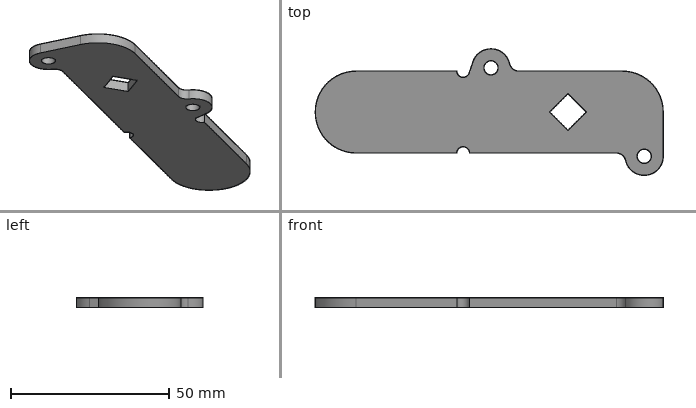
import cadquery as cq
import math

length = 110.0
overall_width = 40.0
thickness = 3.2
end_radius = 13.0
lug_radius = 6.0
lug_hole_diameter = 4.4
lug_fillet = 3.0
notch_radius = 2.0
notch_x = 46.8
upper_lug_x = 55.5
square_hole_x = 79.9
square_hole_side = 8.1

lug_y = overall_width / 2 - lug_radius
lower_lug_x = length - lug_radius
cut_height = 3 * thickness

fillet_offset_y = end_radius + lug_fillet
fillet_offset_x = math.sqrt((lug_radius + lug_fillet) ** 2 - (fillet_offset_y - lug_y) ** 2)


def polar(center, radius, angle):
    """Point on a circle at an angle in radians."""
    return (center[0] + radius * math.cos(angle), center[1] + radius * math.sin(angle))


def fillet_web(lug_x, x_side, y_side):
    """Web between a lug and a plate edge, bounded by the concave fillet."""
    lug = (lug_x, y_side * lug_y)
    center = (lug_x + x_side * fillet_offset_x, y_side * fillet_offset_y)
    edge_point = (center[0], y_side * end_radius)
    to_lug = math.atan2(lug[1] - center[1], lug[0] - center[0])
    lug_point = polar(center, lug_fillet, to_lug)
    middle_x = (edge_point[0] + lug_point[0]) / 2 - center[0]
    middle_y = (edge_point[1] + lug_point[1]) / 2 - center[1]
    middle = polar(center, lug_fillet, math.atan2(middle_y, middle_x))
    return (
        cq.Workplane("XY")
        .moveTo(lug_x, 0)
        .lineTo(edge_point[0], 0)
        .lineTo(*edge_point)
        .threePointArc(middle, lug_point)
        .lineTo(*lug)
        .close()
        .extrude(thickness)
    )


def tangent_web():
    """Web whose slanted side is tangent to the upper lug and the upper notch."""
    lug = (upper_lug_x, lug_y)
    notch = (notch_x, end_radius)
    spacing = math.dist(lug, notch)
    to_notch = math.atan2(notch[1] - lug[1], notch[0] - lug[0]) % (2 * math.pi)
    normal = to_notch - math.acos((lug_radius + notch_radius) / spacing)
    lug_point = polar(lug, lug_radius, normal)
    notch_point = polar(notch, notch_radius, normal + math.pi)
    outline = [lug, lug_point, notch_point, (notch_point[0], 0), (upper_lug_x, 0)]
    return cq.Workplane("XY").polyline(outline).close().extrude(thickness)


def plate():
    """Flat body with a round left end, a round upper and a square lower right corner."""
    corner_x = length - end_radius
    diagonal = end_radius * math.sqrt(0.5)
    return (
        cq.Workplane("XY")
        .moveTo(end_radius, -end_radius)
        .lineTo(lower_lug_x, -end_radius)
        .lineTo(lower_lug_x, -lug_y)
        .lineTo(length, -lug_y)
        .lineTo(length, 0)
        .threePointArc((corner_x + diagonal, diagonal), (corner_x, end_radius))
        .lineTo(end_radius, end_radius)
        .threePointArc((0, 0), (end_radius, -end_radius))
        .close()
        .extrude(thickness)
    )


lug_centers = [(upper_lug_x, lug_y), (lower_lug_x, -lug_y)]
notch_centers = [(notch_x, end_radius), (notch_x, -end_radius)]

lugs = cq.Workplane("XY").pushPoints(lug_centers).circle(lug_radius).extrude(thickness)
body = (
    plate()
    .union(lugs)
    .union(fillet_web(upper_lug_x, 1, 1))
    .union(fillet_web(lower_lug_x, -1, -1))
    .union(tangent_web())
)

cutters = cq.Workplane("XY").workplane(offset=-thickness)
notches = cutters.pushPoints(notch_centers).circle(notch_radius).extrude(cut_height)
lug_holes = cutters.pushPoints(lug_centers).circle(lug_hole_diameter / 2).extrude(cut_height)
square_hole = (
    cutters.center(square_hole_x, 0)
    .transformed(rotate=(0, 0, 45))
    .rect(square_hole_side, square_hole_side)
    .extrude(cut_height)
)

result = body.cut(notches).cut(lug_holes).cut(square_hole).clean()